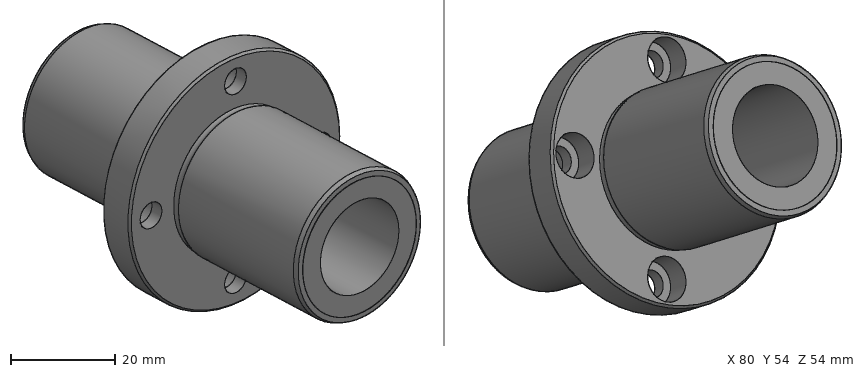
import cadquery as cq

length = 80.0
sleeve_diameter = 32.0
bore_diameter = 20.0
end_chamfer_length = 1.0
end_chamfer_drop = 0.4

seal_diameter = 29.0
seal_protrusion = 0.1

flange_diameter = 54.0
flange_thickness = 8.0
flange_chamfer = 0.5

relief_width = 1.7
relief_depth = 0.4
relief_depth_at_flange = 0.2
relief_bottom_offset = 0.6

hole_count = 4
hole_diameter = 5.5
counterbore_diameter = 9.0
counterbore_depth = 5.1
hole_circle_diameter = 43.0

half_length = length / 2
sleeve_end = half_length - seal_protrusion
sleeve_radius = sleeve_diameter / 2
half_flange = flange_thickness / 2


def make_cylinder(diameter, start_x, end_x):
    """Solid cylinder about X between two X positions."""
    return cq.Workplane("YZ", origin=(start_x, 0, 0)).circle(diameter / 2).extrude(end_x - start_x)


def make_half_sleeve():
    """Revolve the +X half of the sleeve, with its relief, chamfered end and end seal."""
    profile = (
        cq.Workplane("XY")
        .lineTo(0, sleeve_radius - relief_depth_at_flange)
        .lineTo(half_flange, sleeve_radius - relief_depth_at_flange)
        .threePointArc(
            (half_flange + relief_bottom_offset, sleeve_radius - relief_depth),
            (half_flange + relief_width, sleeve_radius),
        )
        .lineTo(sleeve_end - end_chamfer_length, sleeve_radius)
        .lineTo(sleeve_end, sleeve_radius - end_chamfer_drop)
        .lineTo(sleeve_end, seal_diameter / 2)
        .lineTo(half_length, seal_diameter / 2)
        .lineTo(half_length, 0)
        .close()
    )
    return profile.revolve(360, (0, 0, 0), (1, 0, 0))


def make_flange():
    disc = make_cylinder(flange_diameter, -half_flange, half_flange)
    return disc.edges().chamfer(flange_chamfer)


def make_mounting_holes():
    """Cutters for the counterbored holes, spaced evenly around the flange."""
    hole = make_cylinder(hole_diameter, -half_flange, half_flange)
    counterbore = make_cylinder(counterbore_diameter, -half_flange, -half_flange + counterbore_depth)
    cutter = hole.union(counterbore).translate((0, 0, hole_circle_diameter / 2))
    cutters = cq.Workplane("YZ")
    for index in range(hole_count):
        angle = index * 360 / hole_count
        cutters = cutters.add(cutter.rotate((0, 0, 0), (1, 0, 0), angle))
    return cutters.combine()


half_sleeve = make_half_sleeve()
body = half_sleeve.union(half_sleeve.mirror("YZ")).union(make_flange())
bore = make_cylinder(bore_diameter, -half_length, half_length)
result = body.cut(bore).cut(make_mounting_holes())